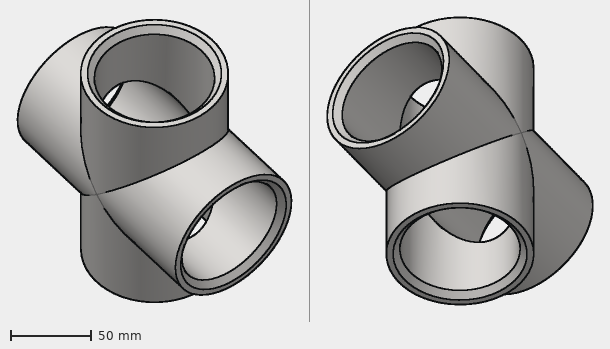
import cadquery as cq

length = 159.8
outer_diameter = 92.0
bore_diameter = 75.0
rim_width = 4.25
bevel_depth = 4.25

half_length = length / 2
outer_radius = outer_diameter / 2
bore_radius = bore_diameter / 2
mouth_radius = outer_radius - rim_width


def along_x(vertical_body):
    """Turn a body centred on the Z axis so that it lies along X."""
    return vertical_body.rotate((0, 0, 0), (0, 1, 0), 90)


def vertical_pipe():
    """Solid outside of one straight pipe, centred on the origin."""
    return cq.Workplane("XY").circle(outer_radius).extrude(half_length, both=True)


def vertical_bore():
    """Through bore with a conical bevel opening out at both ends."""
    bevel_start = half_length - bevel_depth
    return (
        cq.Workplane("XZ")
        .moveTo(0, -half_length)
        .lineTo(mouth_radius, -half_length)
        .lineTo(bore_radius, -bevel_start)
        .lineTo(bore_radius, bevel_start)
        .lineTo(mouth_radius, half_length)
        .lineTo(0, half_length)
        .close()
        .revolve(360, (0, 0, 0), (0, 1, 0))
    )


outside = vertical_pipe().union(along_x(vertical_pipe()))
result = outside.cut(vertical_bore()).cut(along_x(vertical_bore()))